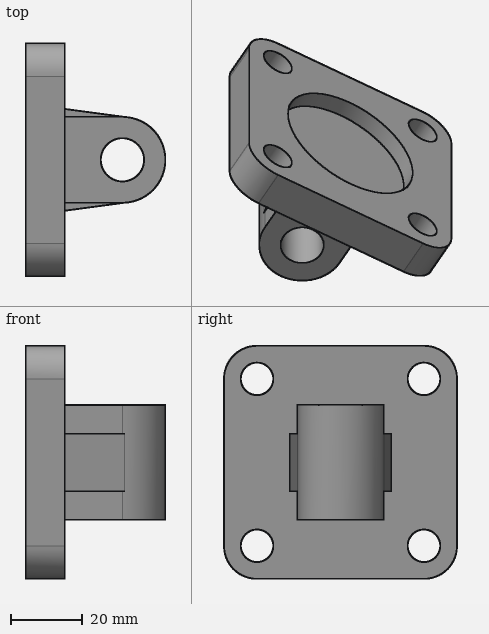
import cadquery as cq
import math

flange_side = 65.0
flange_thickness = 11.0
bolt_spacing = 46.5
bolt_hole_diameter = 9.0
corner_radius = (flange_side - bolt_spacing) / 2

recess_diameter = 40.0
recess_depth = 5.0

overall_length = 39.0
eye_radius = 12.0
eye_height = 32.0
pin_hole_diameter = 12.0
pin_x = overall_length - eye_radius

rib_height = 16.0
rib_root_width = 28.4
rib_tip_x = pin_x + 0.5
rib_tip_half_width = math.sqrt(eye_radius**2 - (rib_tip_x - pin_x) ** 2)


def make_flange():
    """Rounded square plate with four through bolt holes and the recess."""
    plate = (
        cq.Workplane("YZ")
        .rect(flange_side, flange_side)
        .extrude(flange_thickness)
        .edges("|X")
        .fillet(corner_radius)
    )
    bolt_holes = (
        cq.Workplane("YZ")
        .rect(bolt_spacing, bolt_spacing, forConstruction=True)
        .vertices()
        .circle(bolt_hole_diameter / 2)
        .extrude(flange_thickness)
    )
    recess = cq.Workplane("YZ").circle(recess_diameter / 2).extrude(recess_depth)
    return plate.cut(bolt_holes).cut(recess)


def make_eye():
    """Lug with parallel sides and a round end centred on the pin."""
    return (
        cq.Workplane("XY")
        .workplane(offset=-eye_height / 2)
        .moveTo(flange_thickness, -eye_radius)
        .lineTo(pin_x, -eye_radius)
        .threePointArc((overall_length, 0), (pin_x, eye_radius))
        .lineTo(flange_thickness, eye_radius)
        .close()
        .extrude(eye_height)
    )


def make_rib():
    """Trapezoid that widens from the round of the eye to the flange."""
    root_half_width = rib_root_width / 2
    return (
        cq.Workplane("XY")
        .workplane(offset=-rib_height / 2)
        .moveTo(flange_thickness, -root_half_width)
        .lineTo(rib_tip_x, -rib_tip_half_width)
        .lineTo(rib_tip_x, rib_tip_half_width)
        .lineTo(flange_thickness, root_half_width)
        .close()
        .extrude(rib_height)
    )


def make_pin_hole():
    """Cylinder that opens the eye from top to bottom."""
    return (
        cq.Workplane("XY")
        .workplane(offset=-eye_height / 2)
        .center(pin_x, 0)
        .circle(pin_hole_diameter / 2)
        .extrude(eye_height)
    )


result = make_flange().union(make_eye()).union(make_rib()).cut(make_pin_hole())